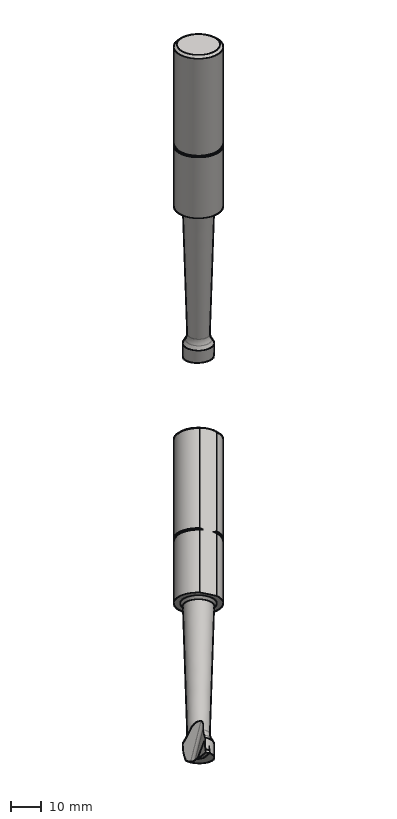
import cadquery as cq
import math


total_length = 116.0
shank_radius = 8.0
shank_bottom_z = 56.2
shank_flat_depth = 0.6
top_chamfer_width = 1.0
top_chamfer_height = 0.8
mark_z = 79.0
mark_width = 0.7
mark_depth = 0.3

flare_radius = 5.9
flare_height = 1.0
neck_top_radius = 5.1
neck_bottom_radius = 3.7
neck_bottom_z = 9.0

cone_top_radius = 4.3
cone_top_z = 7.0
transition_bulge = 0.1
head_radius = 5.1
head_top_z = 5.6
head_bottom_left_z = 0.5
head_bottom_right_z = 1.0

pocket_wall_run = 0.72
pocket_wall_base_x = 4.8
pocket_wall_angle = 12.0
pocket_height = 16.2
pocket_depth = 9.3
pocket_round_radius = 1.1

insert_thickness = 1.7
insert_clearance_angle = 12.0
insert_tip_x = -5.6
insert_end_x = 0.9
insert_end_z = 0.5
insert_peak_x = -4.4
insert_height = 4.6


def make_turned_body():
    """Revolve the half outline of the bar about Z."""
    transition_middle = (
        (neck_bottom_radius + cone_top_radius) / 2 - transition_bulge,
        (neck_bottom_z + cone_top_z) / 2,
    )
    return (
        cq.Workplane("XZ")
        .lineTo(head_radius, 0)
        .lineTo(head_radius, head_top_z)
        .lineTo(cone_top_radius, cone_top_z)
        .threePointArc(transition_middle, (neck_bottom_radius, neck_bottom_z))
        .lineTo(neck_top_radius, shank_bottom_z - flare_height)
        .lineTo(flare_radius, shank_bottom_z)
        .lineTo(shank_radius, shank_bottom_z)
        .lineTo(shank_radius, mark_z - mark_width / 2)
        .lineTo(shank_radius - mark_depth, mark_z)
        .lineTo(shank_radius, mark_z + mark_width / 2)
        .lineTo(shank_radius, total_length - top_chamfer_height)
        .lineTo(shank_radius - top_chamfer_width, total_length)
        .lineTo(0, total_length)
        .close()
        .revolve(360, (0, 0, 0), (0, 1, 0))
    )


def make_flat_cutter():
    """Block that leaves the clamping flat along the -X side of the shank."""
    return cq.Workplane("XY").box(
        shank_radius, 2 * shank_radius, total_length, centered=(False, True, False)
    ).translate((shank_flat_depth - 2 * shank_radius, 0, 0))


def make_bottom_cutter():
    """Wedge below the head, rising from -X to +X."""
    return (
        cq.Workplane("XZ")
        .moveTo(-head_radius, head_bottom_left_z)
        .lineTo(head_radius, head_bottom_right_z)
        .lineTo(head_radius, -head_radius)
        .lineTo(-head_radius, -head_radius)
        .close()
        .extrude(head_radius, both=True)
    )


def make_pocket_cutter():
    """Chip pocket on the +Y side, open towards -X, with a back wall that leans and is turned about Z."""
    wall_top_x = pocket_wall_base_x - pocket_wall_run * pocket_height
    wall_shift = pocket_depth * math.tan(math.radians(pocket_wall_angle))
    wall_middle_x = (wall_top_x + pocket_wall_base_x) / 2
    wall_foot = cq.selectors.NearestToPointSelector((wall_middle_x, 0, pocket_height / 2))

    corners = [(wall_top_x, pocket_height), (pocket_wall_base_x, 0), (wall_top_x, 0)]
    shifted_corners = [(x + wall_shift, z) for x, z in corners]
    pocket = (
        cq.Workplane("XZ")
        .polyline(corners)
        .close()
        .workplane(offset=-pocket_depth)
        .polyline(shifted_corners)
        .close()
        .loft(ruled=True)
    )
    return pocket.edges(wall_foot).fillet(pocket_round_radius)


def make_insert():
    """Triangular cutting plate, flush with the rake face, its tip projecting past the head."""
    return (
        cq.Workplane("XZ")
        .moveTo(insert_tip_x, 0)
        .lineTo(insert_end_x, insert_end_z)
        .lineTo(insert_peak_x, insert_height)
        .close()
        .extrude(insert_thickness, taper=insert_clearance_angle)
    )


insert = make_insert()
bar = (
    make_turned_body()
    .cut(make_flat_cutter())
    .cut(make_bottom_cutter())
    .cut(make_pocket_cutter())
    .cut(insert)
)

result = cq.Compound.makeCompound([bar.val(), insert.val()])